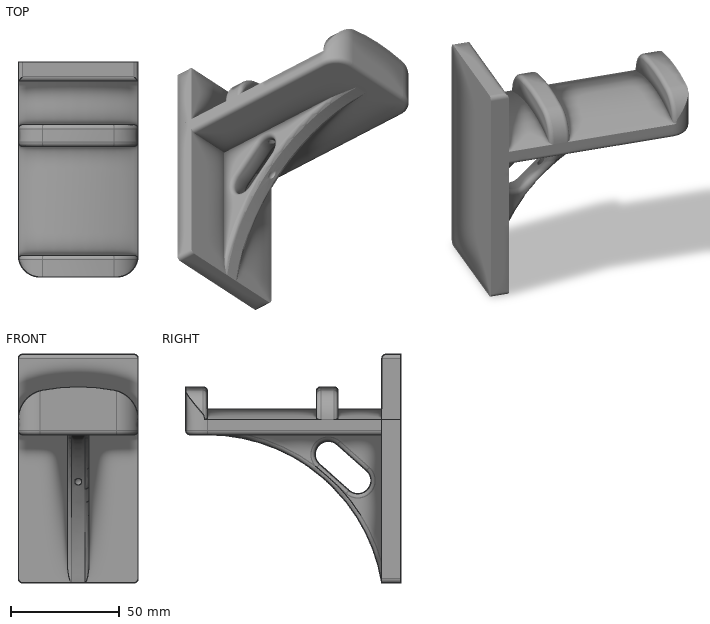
import cadquery as cq
import math


width = 55.0
plate_thickness = 8.75
plate_height = 105.0
edge_radius = 2.0

shelf_bottom = 68.0
shelf_edge_height = 75.0
crown_rise = 5.0
shelf_length = 90.0
shelf_corner_radius = 10.0

stop_height = 10.0
stop_thickness = 10.0
shoulder_radius = 13.6
divider_gap = 20.0

web_thickness = 10.0
slot_radius = 6.0
slot_lower_center = (-19.75, 47.0)
slot_upper_center = (-33.25, 59.0)
screw_hole_diameter = 3.2

overlap = 4.0

half_width = width / 2
plate_front = -plate_thickness
shelf_front = plate_front - shelf_length
lip_back = shelf_front + stop_thickness
divider_back = plate_front - divider_gap
divider_middle = divider_back - stop_thickness / 2
crown_top = shelf_edge_height + crown_rise
stop_top = crown_top + stop_height

crown_radius = (half_width**2 + crown_rise**2) / (2 * crown_rise)
crown_center_z = crown_top - crown_radius
stop_radius = crown_radius + stop_height

shoulder_x = half_width - shoulder_radius
shoulder_reach = stop_radius - shoulder_radius
shoulder_z = crown_center_z + math.sqrt(shoulder_reach**2 - shoulder_x**2)

web_reach = plate_front - lip_back
web_radius = (web_reach**2 + shelf_bottom**2) / (2 * shelf_bottom)


def plate():
    body = cq.Workplane("XY").box(width, plate_thickness, plate_height, centered=(True, False, False))
    body = body.translate((0, plate_front, 0))
    return body.edges("|Y or (|X and >Z and <Y)").fillet(edge_radius)


def upper_space():
    """Space above the joint between the lower and upper plate."""
    return cq.Workplane("XY", origin=(0, 0, shelf_edge_height)).rect(2 * width, 2 * width).extrude(plate_height)


def crowned_block():
    """Full-width shelf with its crowned upper face."""
    return (
        cq.Workplane("XZ", origin=(0, plate_front, 0))
        .moveTo(-half_width, shelf_bottom)
        .lineTo(-half_width, shelf_edge_height)
        .threePointArc((0, crown_top), (half_width, shelf_edge_height))
        .lineTo(half_width, shelf_bottom)
        .close()
        .extrude(shelf_length)
    )


def stop_blank(back):
    """Upright stop with rounded shoulders, running down into the shelf."""
    lean = math.asin(shoulder_x / shoulder_reach)
    tangent_x = stop_radius * math.sin(lean)
    tangent_z = crown_center_z + stop_radius * math.cos(lean)
    mid_angle = (math.pi / 2 - lean) / 2
    mid_x = shoulder_x + shoulder_radius * math.cos(mid_angle)
    mid_z = shoulder_z + shoulder_radius * math.sin(mid_angle)
    foot = shelf_edge_height - overlap
    return (
        cq.Workplane("XZ", origin=(0, back, 0))
        .moveTo(-half_width, foot)
        .lineTo(-half_width, shoulder_z)
        .threePointArc((-mid_x, mid_z), (-tangent_x, tangent_z))
        .threePointArc((0, stop_top), (tangent_x, tangent_z))
        .threePointArc((mid_x, mid_z), (half_width, shoulder_z))
        .lineTo(half_width, foot)
        .close()
        .extrude(stop_thickness)
    )


def shelf():
    """Crowned shelf with both stops, trimmed to rounded front corners and lower edges."""
    divider = stop_blank(divider_back).faces("<Y or >Y").edges("not <Z").fillet(edge_radius)
    lip = stop_blank(lip_back).faces(">Y").edges("not <Z").fillet(edge_radius)
    body = crowned_block().union(divider).union(lip)
    envelope = (
        cq.Workplane("XY", origin=(0, 0, shelf_bottom))
        .rect(width, -2 * shelf_front)
        .extrude(stop_top - shelf_bottom)
        .edges("|Z and <Y")
        .fillet(shelf_corner_radius)
        .faces("<Z")
        .edges()
        .fillet(edge_radius)
    )
    return body.intersect(envelope)


def web():
    """Curved web with rounded free edges, reaching back into the plate."""
    center_z = shelf_bottom - web_radius
    mid_angle = (math.pi / 2 + math.atan2(-center_z, web_reach)) / 2
    mid = (lip_back + web_radius * math.cos(mid_angle), center_z + web_radius * math.sin(mid_angle))
    blank = (
        cq.Workplane("YZ", origin=(-web_thickness / 2, 0, 0))
        .moveTo(plate_front + overlap, 0)
        .lineTo(plate_front, 0)
        .threePointArc(mid, (lip_back, shelf_bottom))
        .lineTo(lip_back, shelf_bottom + overlap)
        .lineTo(plate_front + overlap, shelf_bottom + overlap)
        .close()
        .extrude(web_thickness)
    )
    below_shelf = cq.Workplane("XY").rect(2 * width, 2 * plate_height).extrude(shelf_bottom)
    return blank.edges("%CIRCLE").fillet(edge_radius).intersect(below_shelf)


def slotted_block():
    """Block as thick as the web, holding the long hole with rounded rims."""
    run_y = slot_upper_center[0] - slot_lower_center[0]
    run_z = slot_upper_center[1] - slot_lower_center[1]
    middle = (slot_lower_center[0] + run_y / 2, slot_lower_center[1] + run_z / 2)
    slot_length = math.hypot(run_y, run_z) + 2 * slot_radius
    slot_angle = math.degrees(math.atan2(run_z, run_y))
    slot = (
        cq.Workplane("YZ", origin=(-web_thickness / 2, *middle))
        .slot2D(slot_length, 2 * slot_radius, slot_angle)
        .extrude(web_thickness)
    )
    block = cq.Workplane("XY").box(web_thickness, 2 * plate_height, 2 * plate_height).cut(slot)
    rims = block.faces("<X or >X").edges("%CIRCLE")
    return rims.fillet(edge_radius)


def screw_hole():
    """Vertical hole below the divider, through the web."""
    return (
        cq.Workplane("XY", origin=(0, divider_middle, 0))
        .circle(screw_hole_diameter / 2)
        .extrude(shelf_bottom)
    )


def bracket():
    """Lower plate with the web that carries the shelf."""
    lower_plate = plate().cut(upper_space())
    return lower_plate.union(web().intersect(slotted_block())).cut(screw_hole())


def holder():
    """Upper plate and shelf, joined through the crown above the bracket."""
    upper_plate = plate().intersect(upper_space())
    return upper_plate.union(shelf())


result = cq.Compound.makeCompound([bracket().solids().val(), holder().solids().val()])